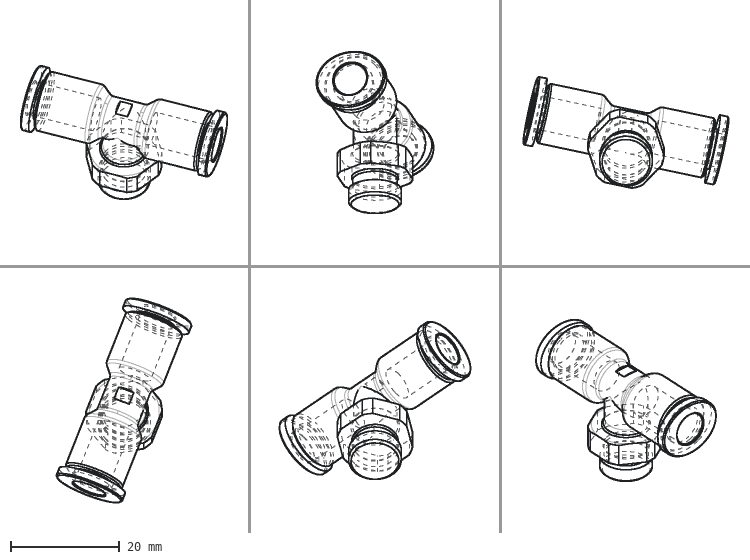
import cadquery as cq
import math


run_length = 35.9
ring_width_y = 13.0
ring_height_z = 11.0
ring_thickness = 1.65
ring_chamfer = 0.25
ring_stem_radius = 3.77
ring_gap = 0.7

body_radius = 5.6
body_end_chamfer = 0.35
neck_radius = 4.0
cone_outer_x = 5.42
cone_inner_x = 3.5
cone_blend_radius = 1.0

socket_radius = 3.1
socket_chamfer = 0.2

recess_depth = 0.3
recess_length = 2.5
recess_wall_run = 0.1

collar_top_z = -6.55
collar_base_z = -7.6
collar_radius = 4.15
collar_foot_radius = 4.5

hex_top_z = -7.95
hex_height = 4.45
hex_across_flats = 13.0
hex_corner_diameter = 14.0
hex_crown_radius = 6.43
hex_crown_drop = 0.15

spigot_root_radius = 4.3
spigot_root_height = 0.45
spigot_waist_radius = 4.1
spigot_waist_end_z = -14.45
spigot_radius = 4.85
spigot_shoulder_z = -14.83
spigot_end_z = -17.7
spigot_end_chamfer = 0.45

run_end_x = run_length / 2
ring_inner_x = run_end_x - ring_thickness
body_end_x = ring_inner_x - ring_gap
hex_bottom_z = hex_top_z - hex_height


def revolve_about_z(points):
    """Solid of revolution about Z from an (r, z) outline closed along the axis."""
    return cq.Workplane("XZ").polyline(points).close().revolve(360, (0, 0), (0, 1))


def make_run_body():
    """Neck flaring through blended cones into the two socket cylinders."""
    half_outline = [
        (cone_inner_x, neck_radius),
        (cone_outer_x, body_radius),
        (body_end_x - body_end_chamfer, body_radius),
        (body_end_x, body_radius - body_end_chamfer),
        (body_end_x, 0),
    ]
    mirrored_outline = [(-x, r) for x, r in reversed(half_outline)]
    body = (
        cq.Workplane("XZ")
        .polyline(mirrored_outline + half_outline)
        .close()
        .revolve(360, (0, 0), (1, 0))
    )
    reach_x = (cone_outer_x + body_end_x) / 2
    middle = cq.selectors.BoxSelector(
        (-reach_x, -ring_width_y, -ring_width_y),
        (reach_x, ring_width_y, ring_width_y),
        boundingbox=True,
    )
    return body.edges(middle).edges("%CIRCLE").fillet(cone_blend_radius)


def make_release_ring():
    """Elliptical ring on a round stem at the +X end."""
    stem = (
        cq.Workplane("YZ")
        .workplane(offset=body_end_x)
        .circle(ring_stem_radius)
        .extrude(ring_gap)
    )
    ring = (
        cq.Workplane("YZ")
        .workplane(offset=ring_inner_x)
        .ellipse(ring_width_y / 2, ring_height_z / 2)
        .extrude(ring_thickness)
        .faces(">X")
        .edges()
        .chamfer(ring_chamfer)
    )
    return stem.union(ring)


def make_socket():
    """Blind tube socket at the +X end, with a chamfered mouth, as a cutter."""
    outline = [
        (cone_outer_x, 0),
        (cone_outer_x, socket_radius),
        (run_end_x - socket_chamfer, socket_radius),
        (run_end_x, socket_radius + socket_chamfer),
        (run_end_x, 0),
    ]
    return cq.Workplane("XY").polyline(outline).close().revolve(360, (0, 0), (1, 0))


def make_neck_recess():
    """Flat-bottomed recess cutter with sloping end walls."""
    half_top = recess_length / 2
    half_floor = half_top - recess_wall_run
    floor_z = neck_radius - recess_depth
    outline = [
        (-half_floor, floor_z),
        (half_floor, floor_z),
        (half_top, neck_radius),
        (-half_top, neck_radius),
    ]
    return cq.Workplane("XZ").polyline(outline).close().extrude(neck_radius, both=True)


def make_branch():
    """Round branch from the run axis to the end of the spigot."""
    return revolve_about_z([
        (0, 0),
        (neck_radius, 0),
        (neck_radius, collar_top_z),
        (collar_radius, collar_base_z),
        (collar_foot_radius, hex_top_z),
        (spigot_root_radius, hex_bottom_z),
        (spigot_waist_radius, hex_bottom_z - spigot_root_height),
        (spigot_waist_radius, spigot_waist_end_z),
        (spigot_radius, spigot_shoulder_z),
        (spigot_radius, spigot_end_z + spigot_end_chamfer),
        (spigot_radius - spigot_end_chamfer, spigot_end_z),
        (0, spigot_end_z),
    ])


def make_hexagon():
    """Hexagon with flats facing +/-Y, turned corners and a crowned top."""
    prism = (
        cq.Workplane("XY")
        .workplane(offset=hex_bottom_z)
        .polygon(6, hex_across_flats / math.cos(math.pi / 6))
        .extrude(hex_height)
    )
    corner_radius = hex_corner_diameter / 2
    turned_blank = revolve_about_z([
        (0, hex_bottom_z),
        (corner_radius, hex_bottom_z),
        (corner_radius, hex_top_z - hex_crown_drop),
        (hex_crown_radius, hex_top_z),
        (0, hex_top_z),
    ])
    return prism.intersect(turned_blank)


right_ring = make_release_ring()
right_socket = make_socket()

result = (
    make_run_body()
    .cut(make_neck_recess())
    .union(make_branch())
    .union(make_hexagon())
    .union(right_ring)
    .union(right_ring.mirror("YZ"))
    .cut(right_socket)
    .cut(right_socket.mirror("YZ"))
)